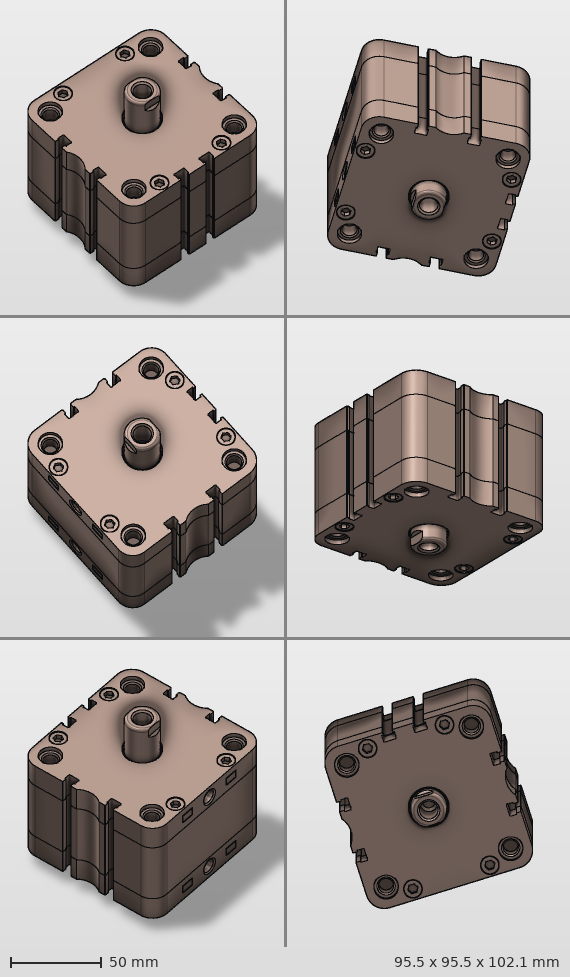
import cadquery as cq
import math


SIDE = 95.5
CORNER_RADIUS = 10.2
CAP_HEIGHT = 15.0
HOUSING_HEIGHT = 69.1
BARREL_HEIGHT = HOUSING_HEIGHT - 2 * CAP_HEIGHT
OVERCUT = 1.0
POSITION_TOLERANCE = 0.01

SIDE_SLOT_X = 15.0
BACK_SLOT_Y = 9.0
SLOT_MOUTH_WIDTH = 5.5
SLOT_MOUTH_CHAMFER = 0.3
SLOT_FLOOR_RADIUS = 0.4
SIDE_POCKET_WIDTH = 7.0
SIDE_FLOOR_DEPTH = 6.6
CAP_SIDE_LIP = 2.8
BARREL_SIDE_LIP = 3.1
BACK_LIP = 1.5
CAP_BACK_POCKET_WIDTH = 7.2
CAP_BACK_FLOOR_DEPTH = 5.5
BARREL_BACK_POCKET_WIDTH = 6.6
BARREL_BACK_FLOOR_DEPTH = 5.1

HOLLOW_WIDTH = 16.0
HOLLOW_DEPTH = 2.8
BARREL_HOLLOW_EDGE_RADIUS = 0.6
HOLLOW_RADIUS = ((HOLLOW_WIDTH / 2) ** 2 + HOLLOW_DEPTH ** 2) / (2 * HOLLOW_DEPTH)

MOUNT_OFFSET = 36.0
MOUNT_RECESS_DIAMETER = 13.5
MOUNT_RECESS_DEPTH = 2.8
MOUNT_MOUTH_DIAMETER = 10.1
MOUNT_DIAMETER = 8.4
MOUNT_DEPTH = 12.2

SCREW_X = 41.5
SCREW_Y = 22.2
SCREW_RECESS_DIAMETER = 10.3
SCREW_FACE_DIAMETER = 9.8
SCREW_SINK = 0.5
SOCKET_WIDTH = 5.0
SOCKET_DEPTH = 3.0

PORT_DROP = 8.0
PORT_MOUTH_DIAMETER = 10.3
PORT_DIAMETER = 8.6
PORT_DEPTH = 6.1
PANEL_Y = 19.1
PANEL_DROP = 7.5
PANEL_WIDTH = 8.4
PANEL_HEIGHT = 5.1
PANEL_DEPTH = 0.3

ROD_DIAMETER = 20.0
ROD_TOP_REACH = 24.0
ROD_BOTTOM_REACH = 9.0
ROD_EDGE_RADIUS = 1.7
FLAT_WIDTH = 17.0
FLAT_LENGTH = 5.6
ROD_PASSAGE_DIAMETER = 6.6
ROD_THREAD_DIAMETER = 10.1
ROD_THREAD_MOUTH = 12.2
ROD_THREAD_DEPTH = 20.4

GAP_MOUTH_DIAMETER = 22.5
GAP_RECESS_DIAMETER = 21.9
GAP_RECESS_DEPTH = 1.0
GAP_DIAMETER = 20.6
GAP_DEPTH = 2.0


def chamfered_hole(mouth_diameter, diameter, depth):
    """Cutter for a blind hole with a 45 degree mouth, from Z = 0 downward."""
    mouth_depth = (mouth_diameter - diameter) / 2
    return (
        cq.Workplane("XZ")
        .moveTo(0, 0)
        .lineTo(mouth_diameter / 2, 0)
        .lineTo(diameter / 2, -mouth_depth)
        .lineTo(diameter / 2, -depth)
        .lineTo(0, -depth)
        .close()
        .revolve(360, (0, 0, 0), (0, 1, 0))
    )


def t_slot(height, lip, pocket_width, floor_depth):
    """Cutter for a T-slot along Z that opens through the +X face and is centred on Y = 0."""
    face_x = SIDE / 2
    half_mouth = SLOT_MOUTH_WIDTH / 2
    half_pocket = pocket_width / 2
    half_outline = [
        (face_x, half_mouth + SLOT_MOUTH_CHAMFER),
        (face_x - SLOT_MOUTH_CHAMFER, half_mouth),
        (face_x - lip, half_mouth),
        (face_x - lip, half_pocket),
        (face_x - floor_depth, half_pocket),
    ]
    other_half = [(x, -y) for x, y in reversed(half_outline)]
    cutter = cq.Workplane("XY").polyline(half_outline + other_half).close().extrude(height)
    return cutter.edges("|Z and <X").fillet(SLOT_FLOOR_RADIUS)


def housing_block(height, side_slot, back_slot):
    """Rounded square block with the slots, the two hollows and the rod bore, standing on Z = 0."""
    block = cq.Workplane("XY").rect(SIDE, SIDE).extrude(height).edges("|Z").fillet(CORNER_RADIUS)
    hollow_center = SIDE / 2 - HOLLOW_DEPTH + HOLLOW_RADIUS
    for sign in (-1, 1):
        hollow = cq.Workplane("XY").center(0, sign * hollow_center).circle(HOLLOW_RADIUS).extrude(height)
        block = block.cut(hollow)
        block = block.cut(back_slot.translate((0, sign * BACK_SLOT_Y, 0)))
        turned_slot = side_slot.rotate((0, 0, 0), (0, 0, 1), sign * 90)
        for slot_x in (-SIDE_SLOT_X, SIDE_SLOT_X):
            block = block.cut(turned_slot.translate((slot_x, 0, 0)))
    return block.cut(cq.Workplane("XY").circle(ROD_DIAMETER / 2).extrude(height))


def is_hollow_edge(edge):
    """True for a vertical edge where a hollow meets the -Y or +Y face."""
    center = edge.Center()
    on_face = abs(abs(center.y) - SIDE / 2) < POSITION_TOLERANCE
    at_hollow_side = abs(abs(center.x) - HOLLOW_WIDTH / 2) < POSITION_TOLERANCE
    return on_face and at_hollow_side


def barrel_body():
    """Barrel standing on Z = 0, with rounded edges along its hollows."""
    side_slot = t_slot(BARREL_HEIGHT, BARREL_SIDE_LIP, SIDE_POCKET_WIDTH, SIDE_FLOOR_DEPTH)
    back_slot = t_slot(BARREL_HEIGHT, BACK_LIP, BARREL_BACK_POCKET_WIDTH, BARREL_BACK_FLOOR_DEPTH)
    body = housing_block(BARREL_HEIGHT, side_slot, back_slot)
    hollow_edges = body.edges("|Z").filter(is_hollow_edge)
    return hollow_edges.fillet(BARREL_HOLLOW_EDGE_RADIUS)


def mount_hole():
    """Cutter for a recessed mounting hole, from Z = 0 downward."""
    recess = cq.Workplane("XY").circle(MOUNT_RECESS_DIAMETER / 2).extrude(-MOUNT_RECESS_DEPTH)
    hole = chamfered_hole(MOUNT_MOUTH_DIAMETER, MOUNT_DIAMETER, MOUNT_DEPTH - MOUNT_RECESS_DEPTH)
    return recess.union(hole.translate((0, 0, -MOUNT_RECESS_DEPTH)))


def screw_head():
    """Cutter that leaves a sunk socket screw head with a chamfered rim, from Z = 0 downward."""
    rim_height = (SCREW_RECESS_DIAMETER - SCREW_FACE_DIAMETER) / 2
    recess = (
        cq.Workplane("XZ")
        .moveTo(0, 0)
        .lineTo(SCREW_RECESS_DIAMETER / 2, 0)
        .lineTo(SCREW_RECESS_DIAMETER / 2, -SCREW_SINK - rim_height)
        .lineTo(SCREW_FACE_DIAMETER / 2, -SCREW_SINK)
        .lineTo(0, -SCREW_SINK)
        .close()
        .revolve(360, (0, 0, 0), (0, 1, 0))
    )
    across_corners = SOCKET_WIDTH / math.cos(math.pi / 6)
    socket = cq.Workplane("XY").polygon(6, across_corners).extrude(-SCREW_SINK - SOCKET_DEPTH)
    return recess.union(socket.rotate((0, 0, 0), (0, 0, 1), 90))


def rod_gap():
    """Cutter for the stepped gap around the rod, from Z = 0 downward."""
    recess = chamfered_hole(GAP_MOUTH_DIAMETER, GAP_RECESS_DIAMETER, GAP_RECESS_DEPTH)
    return recess.union(cq.Workplane("XY").circle(GAP_DIAMETER / 2).extrude(-GAP_DEPTH))


def end_cap():
    """End cap with its inner face on Z = 0 and its outer face up."""
    side_slot = t_slot(CAP_HEIGHT, CAP_SIDE_LIP, SIDE_POCKET_WIDTH, SIDE_FLOOR_DEPTH)
    back_slot = t_slot(CAP_HEIGHT, BACK_LIP, CAP_BACK_POCKET_WIDTH, CAP_BACK_FLOOR_DEPTH)
    cap = housing_block(CAP_HEIGHT, side_slot, back_slot)
    cap = cap.cut(rod_gap().translate((0, 0, CAP_HEIGHT)))
    for sign_x in (-1, 1):
        for sign_y in (-1, 1):
            cap = cap.cut(mount_hole().translate((sign_x * MOUNT_OFFSET, sign_y * MOUNT_OFFSET, CAP_HEIGHT)))
            cap = cap.cut(screw_head().translate((sign_x * SCREW_X, sign_y * SCREW_Y, CAP_HEIGHT)))

    port = chamfered_hole(PORT_MOUTH_DIAMETER, PORT_DIAMETER, PORT_DEPTH)
    port = port.rotate((0, 0, 0), (0, 1, 0), -90)
    cap = cap.cut(port.translate((-SIDE / 2, 0, CAP_HEIGHT - PORT_DROP)))

    panel = cq.Workplane("XY").box(2 * PANEL_DEPTH, PANEL_WIDTH, PANEL_HEIGHT)
    for panel_y in (-PANEL_Y, PANEL_Y):
        cap = cap.cut(panel.translate((-SIDE / 2, panel_y, CAP_HEIGHT - PANEL_DROP)))
    return cap


def rod_end_cuts():
    """Cutter for one rod end whose end face is on Z = 0 and faces up: threaded hole and wrench flats."""
    hole = chamfered_hole(ROD_THREAD_MOUTH, ROD_THREAD_DIAMETER, ROD_THREAD_DEPTH)
    cone_depth = (ROD_THREAD_DIAMETER - ROD_PASSAGE_DIAMETER) / 2
    cone = cq.Workplane("XY").add(
        cq.Solid.makeCone(
            ROD_PASSAGE_DIAMETER / 2, ROD_THREAD_DIAMETER / 2, cone_depth,
            pnt=cq.Vector(0, 0, -ROD_THREAD_DEPTH - cone_depth),
        )
    )
    cuts = hole.union(cone)

    flat_x = FLAT_WIDTH / 2
    outer_x = ROD_DIAMETER / 2 + OVERCUT
    slope_drop = outer_x - flat_x
    flat = (
        cq.Workplane("XZ")
        .moveTo(flat_x, 0)
        .lineTo(outer_x, 0)
        .lineTo(outer_x, -FLAT_LENGTH - slope_drop)
        .lineTo(flat_x, -FLAT_LENGTH)
        .close()
        .extrude(ROD_DIAMETER / 2, both=True)
    )
    return cuts.union(flat).union(flat.mirror("YZ"))


def piston_rod():
    """Hollow rod through the whole housing, with the same details at both ends."""
    length = ROD_BOTTOM_REACH + HOUSING_HEIGHT + ROD_TOP_REACH
    rod = cq.Workplane("XY").circle(ROD_DIAMETER / 2).extrude(length)
    rod = rod.edges().fillet(ROD_EDGE_RADIUS)
    rod = rod.cut(cq.Workplane("XY").circle(ROD_PASSAGE_DIAMETER / 2).extrude(length))
    rod = rod.cut(rod_end_cuts().translate((0, 0, length)))
    rod = rod.cut(rod_end_cuts().rotate((0, 0, 0), (1, 0, 0), 180))
    return rod.translate((0, 0, -ROD_BOTTOM_REACH))


barrel = barrel_body().translate((0, 0, CAP_HEIGHT))

end_caps = []
for turn, inner_face_z in ((180, CAP_HEIGHT), (0, CAP_HEIGHT + BARREL_HEIGHT)):
    end_caps.append(end_cap().rotate((0, 0, 0), (1, 0, 0), turn).translate((0, 0, inner_face_z)))

rod = piston_rod()

result = cq.Compound.makeCompound([barrel.val(), *[cap.val() for cap in end_caps], rod.val()])